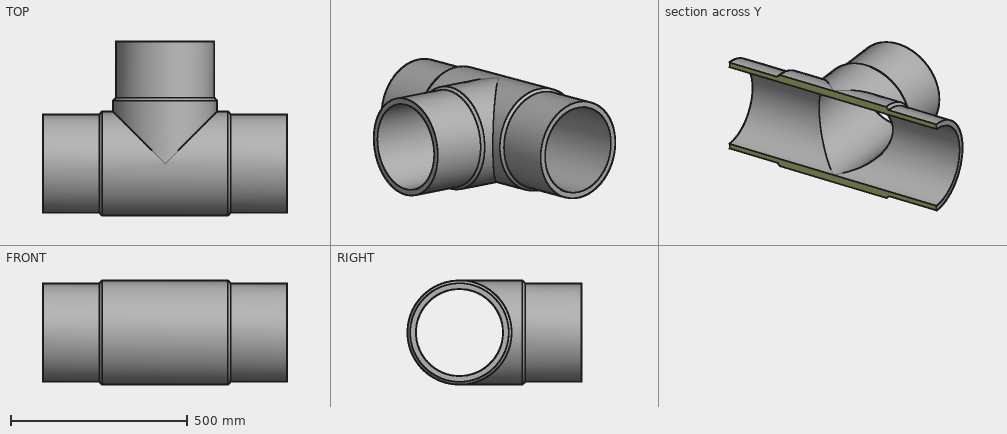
import cadquery as cq

pipe_diameter = 280.0
wall = 16.6
end_reach = 347.0
spigot_length = 160.0
body_thickening = wall / 2

pipe_radius = pipe_diameter / 2
bore_radius = pipe_radius - wall
body_radius = pipe_radius + body_thickening
body_reach = end_reach - spigot_length
chamfer_length = body_thickening
step_start = body_reach - chamfer_length


def run_outer():
    """Straight run, revolved about X so the two ends form one body."""
    profile = (
        cq.Workplane("XY")
        .moveTo(-end_reach, 0)
        .lineTo(-end_reach, pipe_radius)
        .lineTo(-body_reach, pipe_radius)
        .lineTo(-step_start, body_radius)
        .lineTo(step_start, body_radius)
        .lineTo(body_reach, pipe_radius)
        .lineTo(end_reach, pipe_radius)
        .lineTo(end_reach, 0)
        .close()
    )
    return profile.revolve(360, (0, 0, 0), (1, 0, 0))


def branch_outer():
    """Branch from the centre out to its open end, revolved about Y."""
    profile = (
        cq.Workplane("XY")
        .lineTo(body_radius, 0)
        .lineTo(body_radius, step_start)
        .lineTo(pipe_radius, body_reach)
        .lineTo(pipe_radius, end_reach)
        .lineTo(0, end_reach)
        .close()
    )
    return profile.revolve(360, (0, 0, 0), (0, 1, 0))


def bores():
    """Open passage through the run and into the branch."""
    run_bore = cq.Workplane("YZ").circle(bore_radius).extrude(end_reach, both=True)
    branch_bore = cq.Workplane("XZ").circle(bore_radius).extrude(-end_reach)
    return run_bore.union(branch_bore)


result = run_outer().union(branch_outer()).cut(bores())